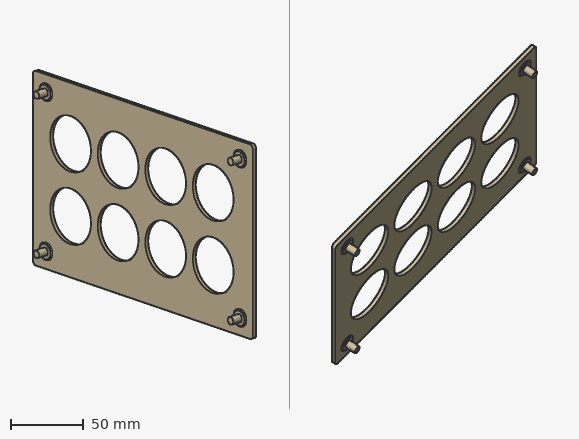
import cadquery as cq

plate_length = 219.5
plate_height = 142.0
plate_thickness = 3.0
corner_radius = 3.0

hole_diameter = 40.5
hole_columns = 4
hole_rows = 2
hole_pitch_x = 47.5
hole_pitch_z = 53.0
hole_grid_shift_x = -1.0

stud_inset = 13.0
stud_height = 9.0
flange_base_diameter = 13.0
flange_top_diameter = 11.0
flange_height = 0.9
shank_diameter = 6.0
tip_end_diameter = 5.5
tip_length = 4.2


def make_plate():
    """Rounded plate with its front face on Y = 0 and its body towards +Y."""
    return (
        cq.Workplane("XZ")
        .rect(plate_length, plate_height)
        .extrude(-plate_thickness)
        .edges("|Y")
        .fillet(corner_radius)
    )


def make_hole_cutters():
    """Cylinders through the plate for the grid of round openings."""
    return (
        cq.Workplane("XZ")
        .center(hole_grid_shift_x, 0)
        .rarray(hole_pitch_x, hole_pitch_z, hole_columns, hole_rows)
        .circle(hole_diameter / 2)
        .extrude(-plate_thickness)
    )


def make_stud():
    """Stud on the Y axis: conical flange, shank and tapered tip, pointing to -Y."""
    shoulder_y = -(stud_height - tip_length)
    half_profile = [
        (0, plate_thickness / 2),
        (flange_base_diameter / 2, plate_thickness / 2),
        (flange_base_diameter / 2, 0),
        (flange_top_diameter / 2, -flange_height),
        (shank_diameter / 2, -flange_height),
        (shank_diameter / 2, shoulder_y),
        (tip_end_diameter / 2, -stud_height),
        (0, -stud_height),
    ]
    return cq.Workplane("XY").polyline(half_profile).close().revolve(360, (0, 0, 0), (0, 1, 0))


result = make_plate().cut(make_hole_cutters())

stud_x = plate_length / 2 - stud_inset
stud_z = plate_height / 2 - stud_inset
for side_x in (-1, 1):
    for side_z in (-1, 1):
        result = result.union(make_stud().translate((side_x * stud_x, 0, side_z * stud_z)))

result = result.translate((0, (stud_height - plate_thickness) / 2, 0))